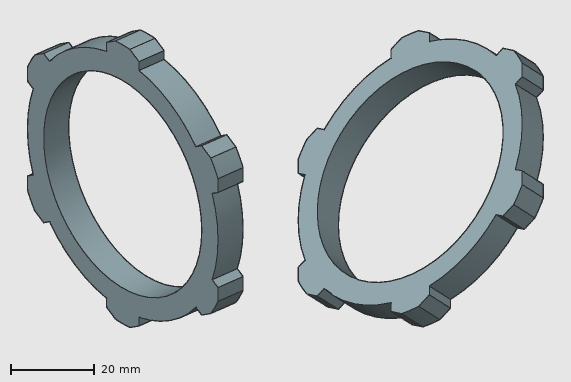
import cadquery as cq
import math

thickness = 8.0
bore_radius = 29.0
ring_radius = 35.0
tip_radius = 39.0
lug_count = 6
lug_half_width = 6.0
bevel_angle = math.radians(30)

shoulder_height = (ring_radius - lug_half_width * math.sin(bevel_angle)) / math.cos(bevel_angle)
crown_half_angle = bevel_angle - math.acos(ring_radius / tip_radius)
crown_half_width = tip_radius * math.sin(crown_half_angle)
crown_edge_height = tip_radius * math.cos(crown_half_angle)
lug_root = (bore_radius + ring_radius) / 2


def make_ring():
    """Plain annulus in the XZ plane, centred on Y = 0."""
    return (
        cq.Workplane("XZ")
        .circle(ring_radius)
        .circle(bore_radius)
        .extrude(thickness / 2, both=True)
    )


def make_lug():
    """Lug at +Z with bevelled shoulders and an arc crown."""
    return (
        cq.Workplane("XZ")
        .moveTo(-lug_half_width, lug_root)
        .lineTo(-lug_half_width, shoulder_height)
        .lineTo(-crown_half_width, crown_edge_height)
        .threePointArc((0, tip_radius), (crown_half_width, crown_edge_height))
        .lineTo(lug_half_width, shoulder_height)
        .lineTo(lug_half_width, lug_root)
        .close()
        .extrude(thickness / 2, both=True)
    )


result = make_ring()
lug = make_lug()
for index in range(lug_count):
    angle = index * 360 / lug_count
    result = result.union(lug.rotate((0, 0, 0), (0, 1, 0), angle))